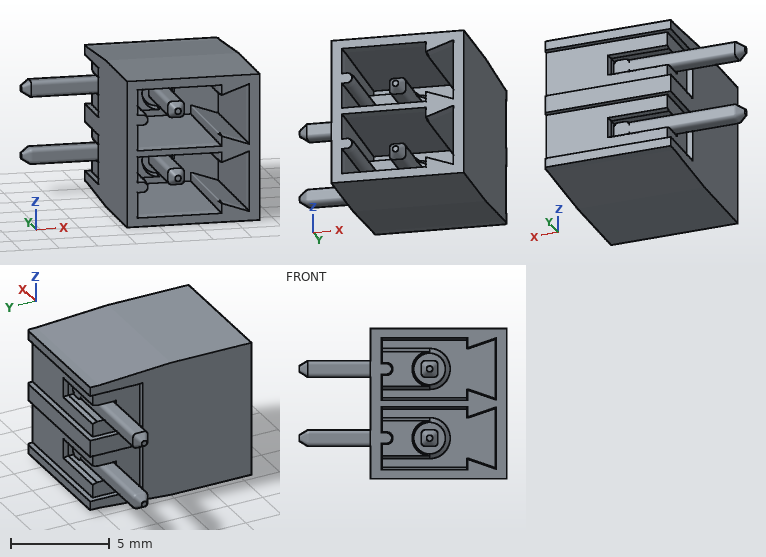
import cadquery as cq
import math


width = 6.9
depth = 9.2
height = 7.6
pitch = 3.5
taper_start = 4.6
taper_end = 8.67
taper_drop = 0.27
rear_corner_radius = 0.2

cavity_left = 0.55
cavity_right = 6.35
cavity_half_height = 1.59
cavity_depth = 6.51
lead_in_depth = 0.5
lead_in_step = 0.05
draft_step = 0.07
key_x = 4.92
key_half_gap = 1.07
dovetail_half_height = 1.56
tongue_half_width = 0.26
tongue_tip_x = 1.08

strip_base = 1.04
strip_top = 0.88
seat_radius = 0.8
strip_height = 1.0
seat_height = 0.5

rear_step = 0.3
pocket_depth = 0.3
pocket_start = 6.21
pocket_half_height = 1.28
slot_half_height = 0.46
slot_end_gap = 0.01
slot_mouth_half_height = 0.55
slot_mouth_depth = 0.25

pin_half = 0.42
pin_corner_radius = 0.21
pin_x = 2.99
leg_y = 7.98
leg_reach = 3.6
pin_tip_y = 1.42
tip_length = 0.44
tip_radius = 0.15
tip_flat = 0.005
shoulder_radius = 0.21

rear_step_y = depth - rear_step
pin_levels = [-pitch / 2, pitch / 2]


def make_shell():
    """Housing block whose top and bottom slope in towards the rear."""
    front_z = height / 2
    rear_z = front_z - taper_drop
    profile = [
        (0, -front_z),
        (taper_start, -front_z),
        (taper_end, -rear_z),
        (depth, -rear_z),
        (depth, rear_z),
        (taper_end, rear_z),
        (taper_start, front_z),
        (0, front_z),
    ]
    shell = cq.Workplane("YZ").polyline(profile).close().extrude(width)
    return shell.edges("|Z and >X and >Y").fillet(rear_corner_radius)


def cavity_plane(y):
    """Sketch plane parallel to the mating face at distance y behind it."""
    return cq.Workplane("XZ", origin=(0, y, 0))


def cavity_outline(y):
    """Cavity mouth: a rectangle with a guiding tongue at left and a dovetail at right."""
    tongue_center_x = tongue_tip_x - tongue_half_width
    return (
        cavity_plane(y)
        .moveTo(cavity_left, cavity_half_height)
        .lineTo(cavity_left, tongue_half_width)
        .lineTo(tongue_center_x, tongue_half_width)
        .threePointArc((tongue_tip_x, 0), (tongue_center_x, -tongue_half_width))
        .lineTo(cavity_left, -tongue_half_width)
        .lineTo(cavity_left, -cavity_half_height)
        .lineTo(key_x, -cavity_half_height)
        .lineTo(key_x, -key_half_gap)
        .lineTo(cavity_right, -dovetail_half_height)
        .lineTo(cavity_right, dovetail_half_height)
        .lineTo(key_x, key_half_gap)
        .lineTo(key_x, cavity_half_height)
        .close()
    )


def make_support():
    """Raised strip with drafted sides from the left wall to the pin, and a round seat around the pin."""
    strip_top_y = cavity_depth - strip_height
    strip_profile = [
        (cavity_depth, -strip_base),
        (cavity_depth, strip_base),
        (strip_top_y, strip_top),
        (strip_top_y, -strip_top),
    ]
    strip = cq.Workplane("YZ").polyline(strip_profile).close().extrude(pin_x)

    seat = (
        cavity_plane(cavity_depth)
        .center(pin_x, 0)
        .circle(strip_base)
        .workplane(offset=seat_height)
        .circle(seat_radius)
        .loft()
    )
    recess = (
        cavity_plane(cavity_depth - seat_height)
        .center(pin_x, 0)
        .circle(seat_radius)
        .workplane(offset=strip_height - seat_height)
        .circle(strip_top)
        .loft()
    )
    return strip.cut(recess).union(seat)


def make_cavity():
    """Space inside one mating cavity, clear of the pin support."""
    lead_in_angle = math.degrees(math.atan(lead_in_step / lead_in_depth))
    lead_in = cavity_outline(0).extrude(-lead_in_depth, taper=lead_in_angle)
    body = cavity_outline(lead_in_depth).offset2D(-lead_in_step).extrude(lead_in_depth - cavity_depth)

    wall_z = cavity_half_height - lead_in_step
    draft_profile = [
        (lead_in_depth, wall_z),
        (cavity_depth, wall_z),
        (cavity_depth, wall_z - draft_step),
    ]
    draft = cq.Workplane("YZ").polyline(draft_profile).close().extrude(key_x)
    body = body.cut(draft).cut(draft.mirror("XY"))
    return lead_in.union(body).cut(make_support())


def make_block(x_end, y_start, y_end, half_height):
    """Rectangular block starting at X = 0, symmetric about Z = 0."""
    block = cq.Workplane("XY").box(
        x_end, y_end - y_start, 2 * half_height, centered=(False, False, True)
    )
    return block.translate((0, y_start, 0))


def make_rear_relief():
    """Rear step, side pocket and pin slot with a flared mouth for one contact."""
    step = make_block(width, rear_step_y, depth, pocket_half_height)
    pocket = make_block(pocket_depth, pocket_start, depth, pocket_half_height)

    slot_start = leg_y - pin_half - slot_end_gap
    slot_end = pin_x + slot_half_height
    slot = make_block(slot_end, slot_start, rear_step_y, slot_half_height)

    flare = slot_mouth_half_height - slot_half_height
    mouth = (
        cavity_plane(rear_step_y)
        .center(slot_end / 2, 0)
        .rect(slot_end + 2 * flare, 2 * slot_mouth_half_height)
        .workplane(offset=slot_mouth_depth)
        .rect(slot_end, 2 * slot_half_height)
        .loft()
    )
    return step.union(pocket).union(slot).union(mouth)


def make_bar(length, rounded_shoulder=False):
    """Rounded square bar along +Z with a blunt point at its far end."""
    shaft_length = length - tip_length
    square = cq.Sketch().rect(2 * pin_half, 2 * pin_half).vertices().fillet(pin_corner_radius)
    blunt_side = 2 * (tip_radius + tip_flat)
    blunt = cq.Sketch().rect(blunt_side, blunt_side).vertices().fillet(tip_radius)
    shaft = cq.Workplane("XY").placeSketch(square).extrude(shaft_length)
    point = (
        cq.Workplane("XY", origin=(0, 0, shaft_length))
        .placeSketch(square, blunt.moved(cq.Location(cq.Vector(0, 0, tip_length))))
        .loft(ruled=True)
    )
    bar = shaft.union(point)
    if rounded_shoulder:
        shoulder_edges = cq.selectors.BoxSelector(
            (-2 * pin_half, -2 * pin_half, shaft_length - tip_length / 4),
            (2 * pin_half, 2 * pin_half, shaft_length + tip_length / 4),
            boundingbox=True,
        )
        bar = bar.edges(shoulder_edges).fillet(shoulder_radius)
    return bar


def make_pin(rounded_shoulder):
    """Right-angle pin: one arm into the cavity, the other out of the left side."""
    bend_x = pin_x + pin_half
    bend_y = leg_y + pin_half
    mating_arm = make_bar(bend_y - pin_tip_y)
    mating_arm = mating_arm.rotate((0, 0, 0), (1, 0, 0), 90).translate((pin_x, bend_y, 0))
    leg = make_bar(bend_x + leg_reach, rounded_shoulder)
    leg = leg.rotate((0, 0, 0), (0, 1, 0), -90).translate((bend_x, leg_y, 0))
    return mating_arm.union(leg)


result = make_shell()
for level in pin_levels:
    offset = (0, 0, level)
    result = result.cut(make_cavity().translate(offset))
    result = result.cut(make_rear_relief().translate(offset))
for level in pin_levels:
    is_lower = level < 0
    result = result.union(make_pin(is_lower).translate((0, 0, level)))